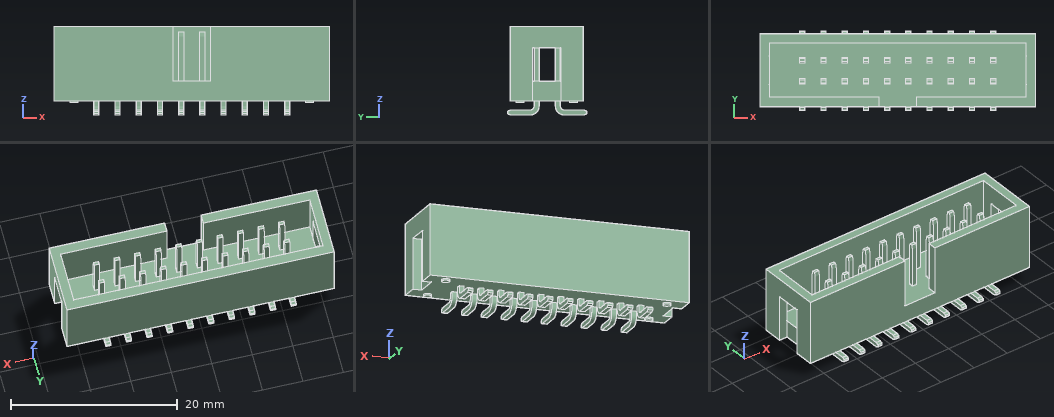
import cadquery as cq

length = 33.02
width = 8.78
height = 8.95
end_wall = 1.12
side_wall = 1.15
floor_height = 2.38

notch_width = 4.5

slot_width = 3.4
slot_height = 6.37

foot_diameter = 1.0
foot_height = 0.2
foot_end_inset = 2.4
foot_side_inset = 1.2

pin_columns = 10
pin_pitch = 2.55
pin_size = 0.63
pin_top_gap = 0.65
tip_length = 0.6
tip_inset = 0.13
leg_drop = 1.7
leg_tip_length = 0.33
leg_tip_inset = 0.15
leg_span = 9.5
bend_inner_radius = 0.45
row_shift = -0.05


def make_housing():
    """Box with a cavity, a front notch and a slot through each end wall."""
    body = cq.Workplane("XY").box(length, width, height, centered=(True, True, False))
    wall_height = height - floor_height
    cavity = (
        cq.Workplane("XY", origin=(0, 0, floor_height))
        .rect(length - 2 * end_wall, width - 2 * side_wall)
        .extrude(wall_height)
    )
    notch = (
        cq.Workplane("XY", origin=(0, (side_wall - width) / 2, floor_height))
        .rect(notch_width, side_wall)
        .extrude(wall_height)
    )
    slots = (
        cq.Workplane("XY")
        .pushPoints([(side * (length - end_wall) / 2, 0) for side in (-1, 1)])
        .rect(end_wall, slot_width)
        .extrude(slot_height)
    )
    return body.cut(cavity).cut(notch).cut(slots)


def make_feet():
    """Four short round feet under the housing."""
    return (
        cq.Workplane("XY")
        .rect(length - 2 * foot_end_inset, width - 2 * foot_side_inset, forConstruction=True)
        .vertices()
        .circle(foot_diameter / 2)
        .extrude(-foot_height)
    )


def make_pin():
    """Back-row pin at X = 0: upright post, quarter bend and leg running toward +Y."""
    inner = (pin_pitch - pin_size) / 2
    outer = inner + pin_size
    leg_end = leg_span / 2
    pin_top = height - pin_top_gap
    bottom = -leg_drop
    leg_top = bottom + pin_size
    bend_outer_radius = bend_inner_radius + pin_size
    bend_y = outer + bend_inner_radius
    bend_z = leg_top + bend_inner_radius
    return (
        cq.Workplane("YZ")
        .moveTo(inner + tip_inset, pin_top)
        .lineTo(inner, pin_top - tip_length)
        .lineTo(inner, bend_z)
        .radiusArc((bend_y, bottom), -bend_outer_radius)
        .lineTo(leg_end - leg_tip_length, bottom)
        .lineTo(leg_end, bottom + leg_tip_inset)
        .lineTo(leg_end, leg_top - leg_tip_inset)
        .lineTo(leg_end - leg_tip_length, leg_top)
        .lineTo(bend_y, leg_top)
        .radiusArc((outer, bend_z), bend_inner_radius)
        .lineTo(outer, pin_top - tip_length)
        .lineTo(outer - tip_inset, pin_top)
        .close()
        .extrude(pin_size / 2, both=True)
    )


result = make_housing().union(make_feet())

back_pin = make_pin()
pin_pair = back_pin.union(back_pin.mirror("XZ"))
for column in range(pin_columns):
    pin_x = (column - (pin_columns - 1) / 2) * pin_pitch
    result = result.union(pin_pair.translate((pin_x, row_shift, 0)))